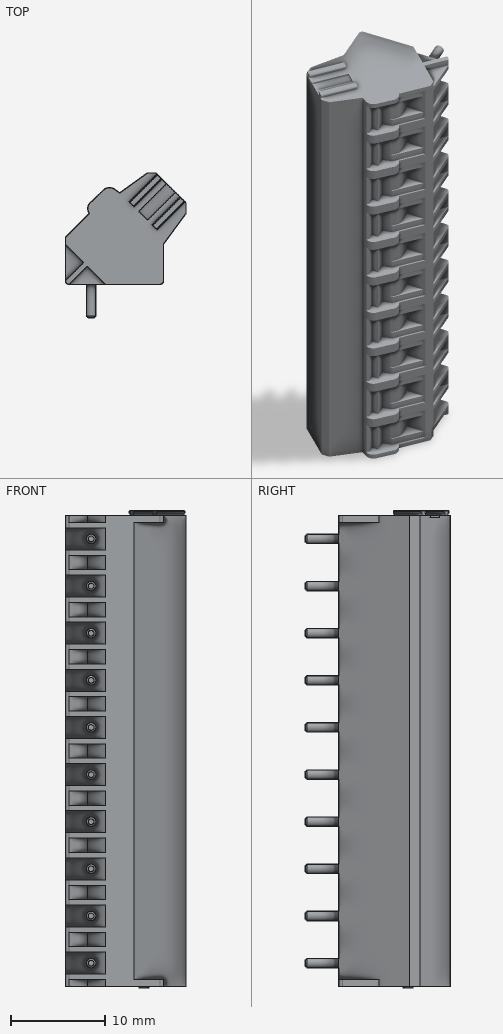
import cadquery as cq

overall_height = 50.7
key_height = 0.5
nub_height = 0.15
body_height = overall_height - key_height - nub_height
pole_count = 10
pitch = body_height / pole_count

base_width = 10.45
snout_x = 12.8
snout_y = 11.85
snout_side_y = 7.55
bevel_start_y = 5.0
bevel_run = 2.55
foot_radius = 0.4

undercut_x = 7.3
plate_thickness = 0.75
flank_slope = snout_side_y / (snout_x - undercut_x)

pocket_leg = 4.25
pin_pocket_height = 2.35
rib_pocket_height = 1.5
rib_thickness = 0.55

pin_diameter = 1.0
pin_x = 2.75
pin_z_offset = pitch / 2
pin_tip_y = -3.55
pin_root_y = 3.05
pin_chamfer = 0.2

recess_height = 3.9
recess_start_y = 5.4
recess_depth = 0.25
window_height = 2.3
window_x = 2.55
shoulder_start_y = 6.6
shoulder_end_y = 7.35
shoulder_run = 0.2
recess_floor_end_y = 7.9
lever_start_y = 8.15
lever_step_y = 9.2
lever_end_y = 10.2
lever_chamfer = 0.25
lever_x = 4.2
lever_back_x = 4.9
clear_x = 1.5
clear_y = 10.65

key_x = 8.25
key_y = 7.3
key_length = 4.15
rail_offset = 1.7
rail_width = 0.75
rail_stem_width = 0.5
rail_head_height = 0.25
rail_edge_chamfer = 0.1
groove_width = 1.3
groove_depth = 0.2
nub_length = 0.2


def prism(outline, bottom, height):
    """Extrude a closed XY outline upward from the given level."""
    return outline.extrude(height).translate((0, 0, bottom))


def snout_block(start, offset, length, width, bottom, height):
    """Block that lies along the snout axis, offset sideways from it."""
    block = cq.Workplane("XY").box(length, width, height, centered=(False, True, False))
    block = block.translate((start, offset, bottom))
    return block.rotate((0, 0, 0), (0, 0, 1), 45).translate((key_x, key_y, 0))


def make_body():
    flank_y = flank_slope * (base_width - undercut_x)
    outline = (
        cq.Workplane("XY")
        .moveTo(0, 0)
        .lineTo(base_width, 0)
        .lineTo(base_width, flank_y)
        .lineTo(snout_x, snout_side_y)
        .lineTo(snout_x, 8.65)
        .lineTo(9.6, snout_y)
        .lineTo(8.7, snout_y)
        .lineTo(5.8, 9.75)
        .lineTo(5.25, 10.1)
        .threePointArc((4.65, 10.3), (4.1, 10.1))
        .lineTo(2.8, 8.8)
        .threePointArc((2.4, 8.2), (bevel_run, bevel_start_y + bevel_run))
        .lineTo(0, bevel_start_y)
        .close()
    )
    body = prism(outline, 0, body_height)
    front_edges = cq.selectors.BoxSelector(
        (-foot_radius, -foot_radius, 0), (base_width + foot_radius, foot_radius, body_height)
    )
    return body.edges("|Z").edges(front_edges).fillet(foot_radius)


def make_undercut():
    outline = (
        cq.Workplane("XY")
        .moveTo(undercut_x, 0)
        .lineTo(snout_x, snout_side_y)
        .lineTo(snout_x, 0)
        .close()
    )
    return prism(outline, plate_thickness, body_height - 2 * plate_thickness)


def corner_pocket(center_z, height):
    outline = cq.Workplane("XY").polyline([(0, 0), (pocket_leg, 0), (0, pocket_leg)]).close()
    return prism(outline, center_z - height / 2, height)


def ribbed_pocket(center_z):
    """Corner pocket that keeps a diagonal rib along its middle."""
    rib = cq.Workplane("XY").box(2 * pocket_leg, rib_thickness, rib_pocket_height)
    rib = rib.rotate((0, 0, 0), (0, 0, 1), 45).translate((0, 0, center_z))
    return corner_pocket(center_z, rib_pocket_height).cut(rib)


def lever_recess(center_z):
    """Recess in the bevel that exposes the stepped lever behind it."""
    floor_shift = bevel_start_y - recess_depth
    outline = (
        cq.Workplane("XY")
        .moveTo(recess_start_y - bevel_start_y, recess_start_y)
        .lineTo(recess_start_y - floor_shift, recess_start_y)
        .lineTo(recess_floor_end_y - floor_shift, recess_floor_end_y)
        .lineTo(lever_x, lever_start_y)
        .lineTo(lever_x, lever_step_y)
        .lineTo(lever_back_x, lever_step_y)
        .lineTo(lever_back_x, lever_end_y - lever_chamfer)
        .lineTo(lever_back_x + lever_chamfer, lever_end_y)
        .lineTo(lever_back_x + lever_chamfer, clear_y)
        .lineTo(clear_x, clear_y)
        .lineTo(clear_x, bevel_start_y + clear_x)
        .close()
    )
    return prism(outline, center_z - recess_height / 2, recess_height)


def wire_window(center_z):
    """Deeper window in the recess: flat back, rounded shoulder, 45 degree run-out."""
    outline = (
        cq.Workplane("XY")
        .moveTo(recess_start_y - bevel_start_y, recess_start_y)
        .lineTo(window_x, recess_start_y)
        .lineTo(window_x, shoulder_start_y)
        .threePointArc((2.6, 7.0), (window_x + shoulder_run, shoulder_end_y))
        .lineTo(window_x + shoulder_run + lever_start_y - shoulder_end_y, lever_start_y)
        .lineTo(lever_start_y - bevel_start_y, lever_start_y)
        .close()
    )
    return prism(outline, center_z - window_height / 2, window_height)


def contact_pin(center_z):
    pin = (
        cq.Workplane("XZ")
        .circle(pin_diameter / 2)
        .extrude(pin_root_y - pin_tip_y)
        .faces("<Y")
        .chamfer(pin_chamfer)
    )
    return pin.translate((pin_x, pin_root_y, center_z))


def coding_rail(offset):
    """T-shaped rail on the top face: narrow stem under a wider head."""
    stem_height = key_height - rail_head_height
    stem = snout_block(0, offset, key_length, rail_stem_width, body_height, stem_height)
    head = snout_block(
        0, offset, key_length, rail_width, body_height + stem_height, rail_head_height
    )
    long_edges = cq.selectors.ParallelDirSelector(cq.Vector(1, 1, 0))
    head = head.faces(">Z").edges(long_edges).chamfer(rail_edge_chamfer)
    return stem.union(head)


result = make_body().cut(make_undercut())

for boundary in range(pole_count + 1):
    result = result.cut(ribbed_pocket(boundary * pitch))

for pole in range(pole_count):
    pole_z = pole * pitch + pin_z_offset
    result = result.cut(corner_pocket(pole_z, pin_pocket_height))
    result = result.cut(lever_recess(pole_z))
    result = result.cut(wire_window(pole_z))
    result = result.union(contact_pin(pole_z))

for side in (-1, 1):
    result = result.union(coding_rail(side * rail_offset))
result = result.cut(
    snout_block(0, 0, key_length, groove_width, body_height - groove_depth, groove_depth)
)
result = result.union(snout_block(0, 0, nub_length, groove_width, -nub_height, nub_height))